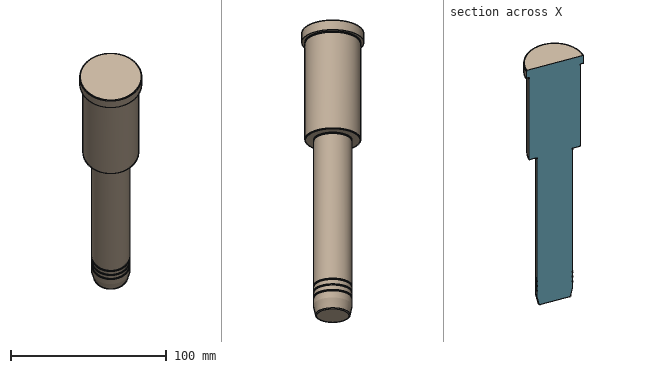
import cadquery as cq

TOTAL_LENGTH = 200.0
HEAD_DIAMETER = 40.0
HEAD_HEIGHT = 7.0
HEAD_CHAMFER = 0.5
SLEEVE_DIAMETER = 36.0
SLEEVE_BOTTOM = 124.0
SLEEVE_CHAMFER = 0.5
SHANK_DIAMETER = 25.0

RELIEF_WIDTH = 1.0
RELIEF_DEPTH = 0.5

GROOVE_COUNT = 3
GROOVE_WIDTH = 1.0
GROOVE_DEPTH = 0.5
GROOVE_PITCH = 4.0
FIRST_GROOVE_HEIGHT = 12.5

TIP_LENGTH = 7.0
TIP_DIAMETER = 22.0
TIP_CHAMFER = 0.5


def disc(diameter, bottom, top):
    """Solid cylinder on the Z axis between two heights."""
    return cq.Workplane("XY").workplane(offset=bottom).circle(diameter / 2).extrude(top - bottom)


def ring_groove(diameter, depth, middle, width):
    """Ring that cuts a V-shaped groove into a cylinder of the given diameter."""
    radius = diameter / 2
    section = [
        (radius - depth, middle),
        (radius, middle - width / 2),
        (radius + depth, middle),
        (radius, middle + width / 2),
    ]
    return cq.Workplane("XZ").polyline(section).close().revolve(360, (0, 0), (0, 1))


def relief_under(diameter, shoulder):
    """Groove cutter whose upper edge meets the shoulder above it."""
    return ring_groove(diameter, RELIEF_DEPTH, shoulder - RELIEF_WIDTH / 2, RELIEF_WIDTH)


def make_tip():
    """Cone widening from the chamfered end face up to the shank."""
    cone = (
        cq.Workplane("XY")
        .circle(TIP_DIAMETER / 2)
        .workplane(offset=TIP_LENGTH)
        .circle(SHANK_DIAMETER / 2)
        .loft(ruled=True)
    )
    return cone.faces("<Z").chamfer(TIP_CHAMFER)


def make_shank():
    shank = disc(SHANK_DIAMETER, TIP_LENGTH, SLEEVE_BOTTOM)
    for index in range(GROOVE_COUNT):
        middle = FIRST_GROOVE_HEIGHT + index * GROOVE_PITCH
        shank = shank.cut(ring_groove(SHANK_DIAMETER, GROOVE_DEPTH, middle, GROOVE_WIDTH))
    return shank.cut(relief_under(SHANK_DIAMETER, SLEEVE_BOTTOM))


def make_sleeve():
    top = TOTAL_LENGTH - HEAD_HEIGHT
    sleeve = disc(SLEEVE_DIAMETER, SLEEVE_BOTTOM, top).faces("<Z").chamfer(SLEEVE_CHAMFER)
    return sleeve.cut(relief_under(SLEEVE_DIAMETER, top))


def make_head():
    head = disc(HEAD_DIAMETER, TOTAL_LENGTH - HEAD_HEIGHT, TOTAL_LENGTH)
    return head.faces(">Z").chamfer(HEAD_CHAMFER)


result = make_tip().union(make_shank()).union(make_sleeve()).union(make_head())